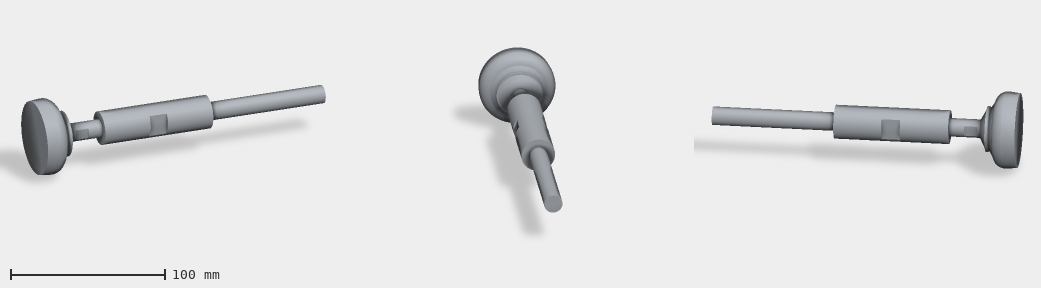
import cadquery as cq

total_length = 200.0

pad_diameter = 50.0
base_diameter = 48.5
base_taper_height = 6.2
rim_height = 9.0
shoulder_height = 15.8
shoulder_radius = 18.5
shoulder_mid_radius = 22.8
shoulder_mid_height = 13.5
neck_height = 18.5
neck_radius = 14.0

lip_radius = 15.0
lip_bottom_height = 18.8
lip_top_height = 20.8
lip_chamfer = 0.5
cone_base_radius = 14.0
cone_top_radius = 6.5
cone_top_height = 25.2
cone_top_step = 0.5

rod_diameter = 12.0
rod_flat_width = 10.0
rod_flat_start = 26.5
rod_flat_length = 8.8

sleeve_diameter = 22.0
sleeve_start = 45.0
sleeve_length = 75.0
sleeve_flat_width = 17.0
sleeve_flat_length = 12.0

base_y = -total_length / 2
pad_radius = pad_diameter / 2
sleeve_flat_start = sleeve_start + (sleeve_length - sleeve_flat_length) / 2


def cylinder(diameter, start, length):
    """Cylinder on the Y axis, starting at a height above the base."""
    disc = cq.Workplane("XZ", origin=(0, base_y + start, 0)).circle(diameter / 2)
    return disc.extrude(-length)


def cut_wrench_flats(body, diameter, across_flats, start, length):
    """Cut two opposite flats, facing -X and +X, into a round body."""
    depth = (diameter - across_flats) / 2
    for side in (-1, 1):
        cutter = cq.Workplane("XY").box(depth, length, diameter)
        cutter = cutter.translate((side * (across_flats + depth) / 2, base_y + start + length / 2, 0))
        body = body.cut(cutter)
    return body


def make_foot():
    """Pad and cone revolved about the Y axis, carrying the full-length rod."""
    profile = (
        cq.Workplane("XY", origin=(0, base_y, 0))
        .moveTo(0, 0)
        .lineTo(base_diameter / 2, 0)
        .lineTo(pad_radius, base_taper_height)
        .lineTo(pad_radius, rim_height)
        .threePointArc((shoulder_mid_radius, shoulder_mid_height), (shoulder_radius, shoulder_height))
        .lineTo(neck_radius, neck_height)
        .lineTo(lip_radius - lip_chamfer, lip_bottom_height)
        .lineTo(lip_radius, lip_bottom_height + lip_chamfer)
        .lineTo(lip_radius, lip_top_height)
        .lineTo(cone_base_radius, lip_top_height)
        .lineTo(cone_top_radius, cone_top_height - cone_top_step)
        .lineTo(cone_top_radius, cone_top_height)
        .lineTo(0, cone_top_height)
        .close()
    )
    pad = profile.revolve(360, (0, 0, 0), (0, 1, 0))
    rod = cylinder(rod_diameter, cone_top_height, total_length - cone_top_height)
    rod = cut_wrench_flats(rod, rod_diameter, rod_flat_width, rod_flat_start, rod_flat_length)
    return pad.union(rod)


def make_sleeve():
    """Round sleeve bored through for the rod, with two wrench flats at mid-length."""
    sleeve = cylinder(sleeve_diameter, sleeve_start, sleeve_length)
    sleeve = sleeve.cut(cylinder(rod_diameter, sleeve_start, sleeve_length))
    return cut_wrench_flats(
        sleeve, sleeve_diameter, sleeve_flat_width, sleeve_flat_start, sleeve_flat_length
    )


foot = make_foot()
sleeve = make_sleeve()

result = cq.Compound.makeCompound([foot.val(), sleeve.val()])